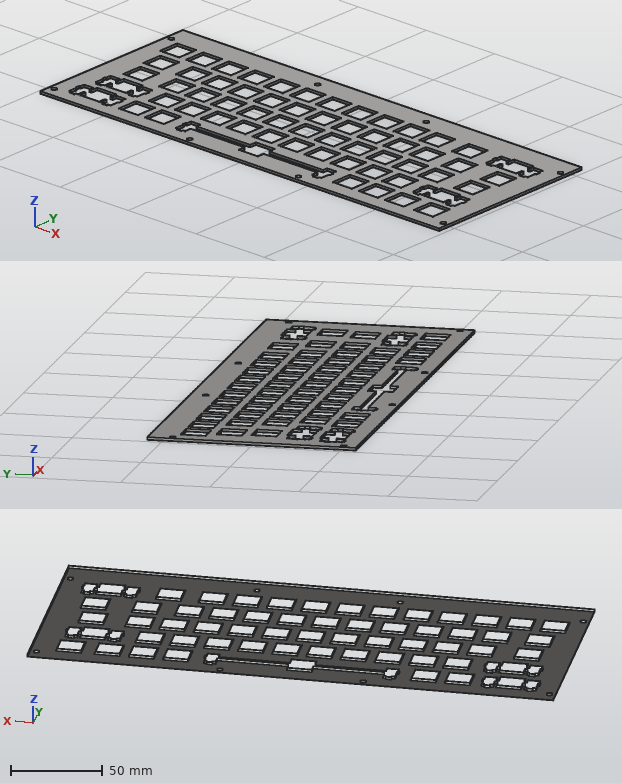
import cadquery as cq

PLATE_LENGTH = 293.1
PLATE_WIDTH = 117.0
PLATE_THICKNESS = 1.58

KEY_PITCH = 19.05
SWITCH_SIZE = 14.0
LAYOUT_LEFT = -138.62
TOP_ROW_Y = 35.1

KEY_ROWS = [
    [1] * 11 + [1.5, 2],
    [1.5] + [1] * 10 + [1.5, 1.5],
    [1.75] + [1] * 11 + [1.75],
    [2.25] + [1] * 10 + [2.25],
    [2, 1, 1, 6.25, 1, 1, 1, 1.25],
]

STABILIZED_MIN_UNITS = 2
SPACEBAR_MIN_UNITS = 6
WIDE_KEY_WING_OFFSET = 11.9
SPACEBAR_WING_OFFSET = 50.0
WING_WIDTH = 6.75
WING_TOP = 5.53
WING_BOTTOM = -6.77
TAB_WIDTH = 3.3
TAB_DEPTH = 1.25
NOTCH_DEPTH = 0.8
NOTCH_TOP = 2.3
NOTCH_BOTTOM = -0.5
BRIDGE_HEIGHT = 4.6

HOLE_DIAMETER = 3.2
HOLE_ROWS = [
    (143.0, 45.0),
    (143.0, -51.0),
    (39.92, 49.9),
    (39.92, -54.7),
]


def cutout(x_min, x_max, y_min, y_max):
    """Rectangular cutter through the full plate thickness."""
    return (
        cq.Workplane("XY")
        .center((x_min + x_max) / 2, (y_min + y_max) / 2)
        .rect(x_max - x_min, y_max - y_min)
        .extrude(PLATE_THICKNESS)
    )


def switch_cutout(x, y):
    half = SWITCH_SIZE / 2
    return cutout(x - half, x + half, y - half, y + half)


def stabilizer_wing(x, y, side):
    """Wing centred on x; side is +1 or -1, the direction facing away from the key."""
    half_width = WING_WIDTH / 2
    half_tab = TAB_WIDTH / 2
    notch_end = x + side * (half_width + NOTCH_DEPTH)
    body = cutout(x - half_width, x + half_width, y + WING_BOTTOM, y + WING_TOP)
    tab = cutout(x - half_tab, x + half_tab, y + WING_BOTTOM - TAB_DEPTH, y + WING_TOP)
    notch = cutout(min(x, notch_end), max(x, notch_end), y + NOTCH_BOTTOM, y + NOTCH_TOP)
    return body.union(tab).union(notch)


def stabilizer_cutout(x, y, wing_offset):
    """Pair of wings joined by a straight bridge."""
    half_bridge = BRIDGE_HEIGHT / 2
    shape = cutout(x - wing_offset, x + wing_offset, y - half_bridge, y + half_bridge)
    for side in (-1, 1):
        shape = shape.union(stabilizer_wing(x + side * wing_offset, y, side))
    return shape


def key_cutout(x, y, units):
    shape = switch_cutout(x, y)
    if units >= SPACEBAR_MIN_UNITS:
        return shape.union(stabilizer_cutout(x, y, SPACEBAR_WING_OFFSET))
    if units >= STABILIZED_MIN_UNITS:
        return shape.union(stabilizer_cutout(x, y, WIDE_KEY_WING_OFFSET))
    return shape


def cut_keys(plate):
    cutters = []
    for row, widths in enumerate(KEY_ROWS):
        y = TOP_ROW_Y - row * KEY_PITCH
        key_left = LAYOUT_LEFT
        for units in widths:
            key_width = units * KEY_PITCH
            cutters.append(key_cutout(key_left + key_width / 2, y, units).val())
            key_left += key_width
    return plate.cut(cq.Workplane(cq.Compound.makeCompound(cutters)))


def cut_mounting_holes(plate):
    centres = [(side * x, y) for x, y in HOLE_ROWS for side in (-1, 1)]
    holes = (
        cq.Workplane("XY")
        .pushPoints(centres)
        .circle(HOLE_DIAMETER / 2)
        .extrude(PLATE_THICKNESS)
    )
    return plate.cut(holes)


blank = cq.Workplane("XY").box(
    PLATE_LENGTH, PLATE_WIDTH, PLATE_THICKNESS, centered=(True, True, False)
)
result = cut_mounting_holes(cut_keys(blank))